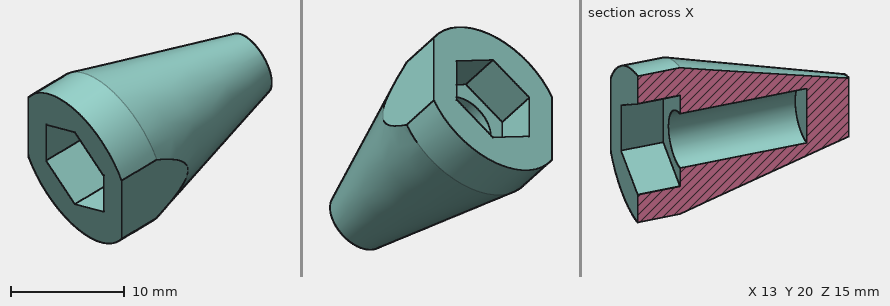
import cadquery as cq

length = 20.0
base_diameter = 15.0
tip_diameter = 6.0
base_length = 4.0
width_across_flats = 13.0

hex_across_flats = 8.0
hex_depth = 4.0
bore_diameter = 5.5
bore_end = 16.0


def make_body():
    """Cylindrical base and conical nose, trimmed by two side flats."""
    half_profile = (
        cq.Workplane("XY")
        .lineTo(base_diameter / 2, 0)
        .lineTo(base_diameter / 2, base_length)
        .lineTo(tip_diameter / 2, length)
        .lineTo(0, length)
        .close()
    )
    turned = half_profile.revolve(360, (0, 0, 0), (0, 1, 0))
    flats = cq.Workplane("XY").box(
        width_across_flats, length, base_diameter, centered=(True, False, True)
    )
    return turned.intersect(flats)


def make_hex_pocket():
    """Hexagonal prism with two corners on the Z axis and two sides parallel to it."""
    return (
        cq.Workplane("XZ")
        .polygon(6, hex_across_flats, circumscribed=True)
        .extrude(-hex_depth)
    )


def make_bore():
    """Round bore running from the base face to its blind end."""
    return cq.Workplane("XZ").circle(bore_diameter / 2).extrude(-bore_end)


result = make_body().cut(make_hex_pocket()).cut(make_bore())